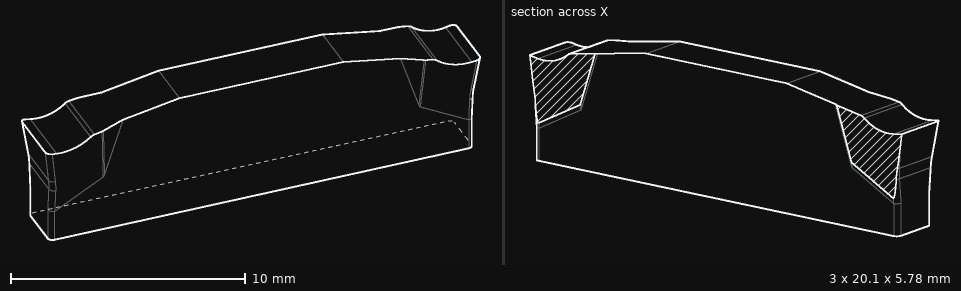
import cadquery as cq
import math

length = 20.05
head_width = 3.0
height = 5.78

body_width = 2.36
body_length = 19.55
flat_half_length = 3.78
ramp_angle = 10.0
corner_radius = 0.22

tip_height = 4.62
land_length = 0.45
land_angle = 8.5
crest_y = 7.915
crest_radius = 0.38

relief_angle = 7.9
relief_radius = 3.5

flank_relief_angle = 5.6
flank_back_angle = 3.0
apex_y = 7.28
shoulder_top_y = 7.43
runout_y = 6.4
shoulder_radius = 0.35

tip_y = length / 2
end_y = body_length / 2
body_half = body_width / 2

blank_half = head_width
cutter_size = 40.0


def tangent(angle):
    return math.tan(math.radians(angle))


def ramp_height(y):
    return height - (y - flat_half_length) * tangent(ramp_angle)


def flank_half_width(y, z):
    """Half width of a head, which narrows downwards and towards the middle of the part."""
    widest_y = tip_y - corner_radius
    widest_z = tip_height - corner_radius * tangent(land_angle)
    down = (z - widest_z) * tangent(flank_relief_angle)
    back = (y - widest_y) * tangent(flank_back_angle)
    return head_width / 2 + down + back


def flank_foot_height(y):
    """Height at which the flank plane meets the side of the body."""
    return (body_half - flank_half_width(y, 0)) / tangent(flank_relief_angle)


def half_profile(width):
    """Side profile of the +Y half, extruded from x = 0 to x = width."""
    land_end_y = tip_y - land_length
    land_end_z = tip_height - land_length * tangent(land_angle)
    relief_foot_z = tip_height - (tip_y - end_y) / tangent(relief_angle)
    half = (
        cq.Workplane("YZ")
        .lineTo(end_y, 0)
        .lineTo(end_y, relief_foot_z)
        .lineTo(tip_y, tip_height)
        .lineTo(land_end_y, land_end_z)
        .tangentArcPoint((crest_y, ramp_height(crest_y)), relative=False)
        .lineTo(flat_half_length, height)
        .lineTo(0, height)
        .close()
        .extrude(width)
    )
    half = half.edges(edge_at(end_y, relief_foot_z)).fillet(relief_radius)
    return half.edges(edge_at(crest_y, ramp_height(crest_y))).fillet(crest_radius)


def edge_at(y, z):
    """Selector for the edge parallel to X at the given place in the side profile."""
    reach = 0.01
    return cq.selectors.BoxSelector(
        (-cutter_size, y - reach, z - reach), (cutter_size, y + reach, z + reach)
    )


def outer_half_space(point, outward):
    """Large block filling the space beyond a plane."""
    plane = cq.Plane(origin=point.toTuple(), normal=outward.toTuple())
    return cq.Workplane(plane).rect(cutter_size, cutter_size).extrude(cutter_size)


def round_end_corner(quarter):
    """Round the corner that runs up the end face from the bottom to the tip."""
    corner = cq.selectors.BoxSelector(
        (body_half - corner_radius, end_y - corner_radius, 0), (blank_half, tip_y, tip_height - corner_radius)
    )
    return quarter.edges(corner).fillet(corner_radius)


def body_quarter():
    """Parallel-sided body, up to the middle planes of the part."""
    return round_end_corner(half_profile(body_half))


def head_quarter():
    """Cutting head bounded by its flank and shoulder planes."""
    apex = cq.Vector(body_half, apex_y, flank_foot_height(apex_y))
    foot = cq.Vector(body_half, end_y, flank_foot_height(end_y))
    shoulder_top_z = ramp_height(shoulder_top_y)
    shoulder_top = cq.Vector(
        flank_half_width(shoulder_top_y, shoulder_top_z), shoulder_top_y, shoulder_top_z
    )
    runout = cq.Vector(body_half, runout_y, ramp_height(runout_y))

    flank_normal = (foot - apex).cross(shoulder_top - apex)
    shoulder_normal = (shoulder_top - apex).cross(runout - apex)
    quarter = half_profile(blank_half)
    quarter = quarter.cut(outer_half_space(apex, flank_normal))
    quarter = quarter.cut(outer_half_space(apex, shoulder_normal))

    shoulder_edge = (shoulder_top - apex).normalized()
    quarter = quarter.edges(cq.selectors.ParallelDirSelector(shoulder_edge)).fillet(shoulder_radius)
    return round_end_corner(quarter)


quarter_part = body_quarter().union(head_quarter())
half_part = quarter_part.union(quarter_part.mirror("YZ"))
result = half_part.union(half_part.mirror("XZ")).clean()